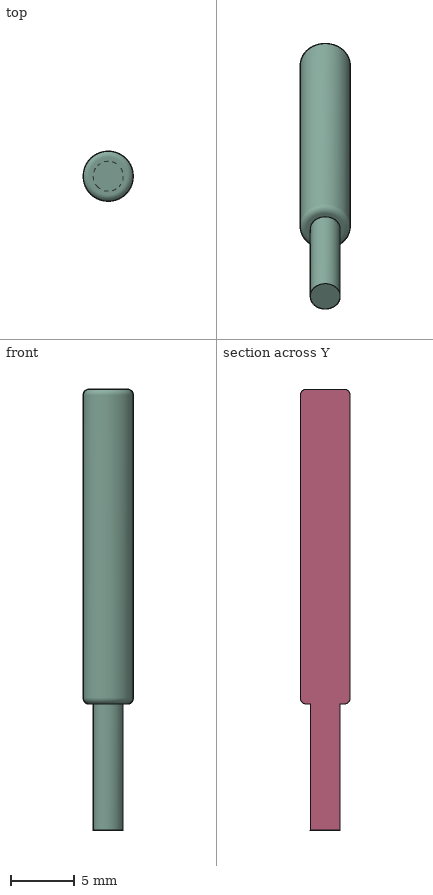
import cadquery as cq

total_length = 35.0
stem_length = 10.0
body_length = total_length - stem_length
body_diameter = 4.0
stem_diameter = 2.38
edge_radius = 0.5

body = (
    cq.Workplane("XY")
    .circle(body_diameter / 2)
    .extrude(body_length)
    .edges("%CIRCLE")
    .fillet(edge_radius)
)

stem = cq.Workplane("XY").circle(stem_diameter / 2).extrude(-stem_length)

result = body.union(stem)